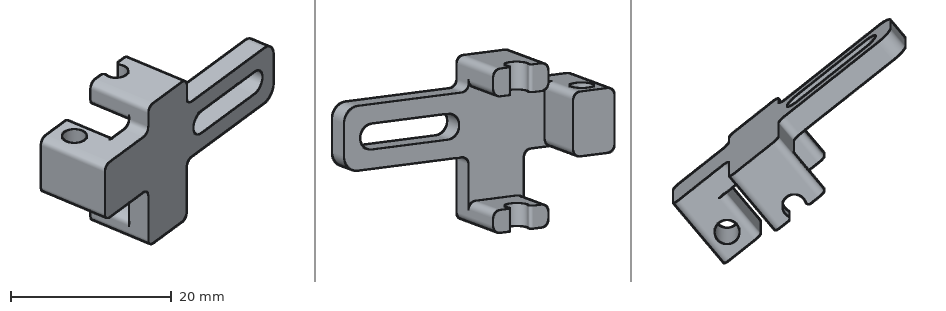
import cadquery as cq
import math

plate_thickness = 3.0
arm_length = 35.0
arm_bottom = 8.7
arm_top = 17.0
arm_rear_radius = 2.0
bar_front = 9.0
bar_rear = 17.0
total_height = 21.0
edge_radius = 1.0

slot_width = 3.3
slot_front_center = 20.0
slot_rear_center = 31.0

block_reach = 10.0
block_length = 6.0
block_hole_diameter = 3.1
block_hole_from_face = 3.0

lug_reach = 9.05
lower_lug_height = 2.95
upper_lug_height = 3.55
seat_radius = 1.5
seat_depth = 1.05
lip_radius = 0.4

arm_height = arm_top - arm_bottom
arm_mid_height = (arm_bottom + arm_top) / 2
bar_length = bar_rear - bar_front
bar_mid = (bar_front + bar_rear) / 2


def rounded_bar(reach, front, length, bottom, height, radius=edge_radius):
    """Box standing out from the back plane, with its four edges along X rounded."""
    return (
        cq.Workplane("XY")
        .box(reach, length, height, centered=False)
        .translate((-reach, front, bottom))
        .edges("|X")
        .fillet(radius)
    )


def make_plate():
    arm = (
        cq.Workplane("XY")
        .box(plate_thickness, arm_length, arm_height, centered=False)
        .translate((-plate_thickness, 0, arm_bottom))
    )
    arm = arm.edges("|X and <Y").fillet(edge_radius)
    arm = arm.edges("|X and >Y").fillet(arm_rear_radius)
    bar = rounded_bar(plate_thickness, bar_front, bar_length, 0, total_height)
    plate = arm.union(bar)
    inner_corners = cq.selectors.BoxSelector(
        (-plate_thickness, bar_front - edge_radius / 2, arm_bottom - edge_radius / 2),
        (0, bar_rear + edge_radius / 2, arm_top + edge_radius / 2),
    )
    return plate.edges("|X").edges(inner_corners).fillet(edge_radius)


def make_slot():
    slot_length = slot_rear_center - slot_front_center + slot_width
    slot_mid = (slot_front_center + slot_rear_center) / 2
    return (
        cq.Workplane("YZ")
        .center(slot_mid, arm_mid_height)
        .slot2D(slot_length, slot_width)
        .extrude(-plate_thickness)
    )


def make_block_hole():
    return (
        cq.Workplane("XY")
        .center(-block_reach + block_hole_from_face, block_length / 2)
        .circle(block_hole_diameter / 2)
        .extrude(total_height)
    )


def make_seat():
    """Cylindrical seat opening through the lug face between two rounded lips."""
    lip_offset = seat_depth - lip_radius
    center_distance = seat_radius + lip_radius
    lip_half_span = math.sqrt(center_distance**2 - lip_offset**2)
    touch_x = -lip_offset * seat_radius / center_distance
    touch_y = lip_half_span * seat_radius / center_distance
    touch_angle = math.atan2(touch_y - lip_half_span, touch_x + lip_offset)
    mid_angle = (touch_angle - math.pi) / 2
    lip_mid_x = -lip_offset + lip_radius * math.cos(mid_angle)
    lip_mid_y = lip_half_span + lip_radius * math.sin(mid_angle)
    return (
        cq.Workplane("XY")
        .center(-lug_reach + seat_depth, bar_mid)
        .moveTo(-seat_depth, lip_half_span)
        .threePointArc((lip_mid_x, lip_mid_y), (touch_x, touch_y))
        .threePointArc((seat_radius, 0), (touch_x, -touch_y))
        .threePointArc((lip_mid_x, -lip_mid_y), (-seat_depth, -lip_half_span))
        .close()
        .extrude(total_height)
    )


block = rounded_bar(block_reach, 0, block_length, arm_bottom, arm_height)
lower_lug = rounded_bar(lug_reach, bar_front, bar_length, 0, lower_lug_height)
upper_lug_bottom = total_height - upper_lug_height
upper_lug = rounded_bar(lug_reach, bar_front, bar_length, upper_lug_bottom, upper_lug_height)

result = make_plate().union(block).union(lower_lug).union(upper_lug)
result = result.cut(make_slot()).cut(make_block_hole()).cut(make_seat())